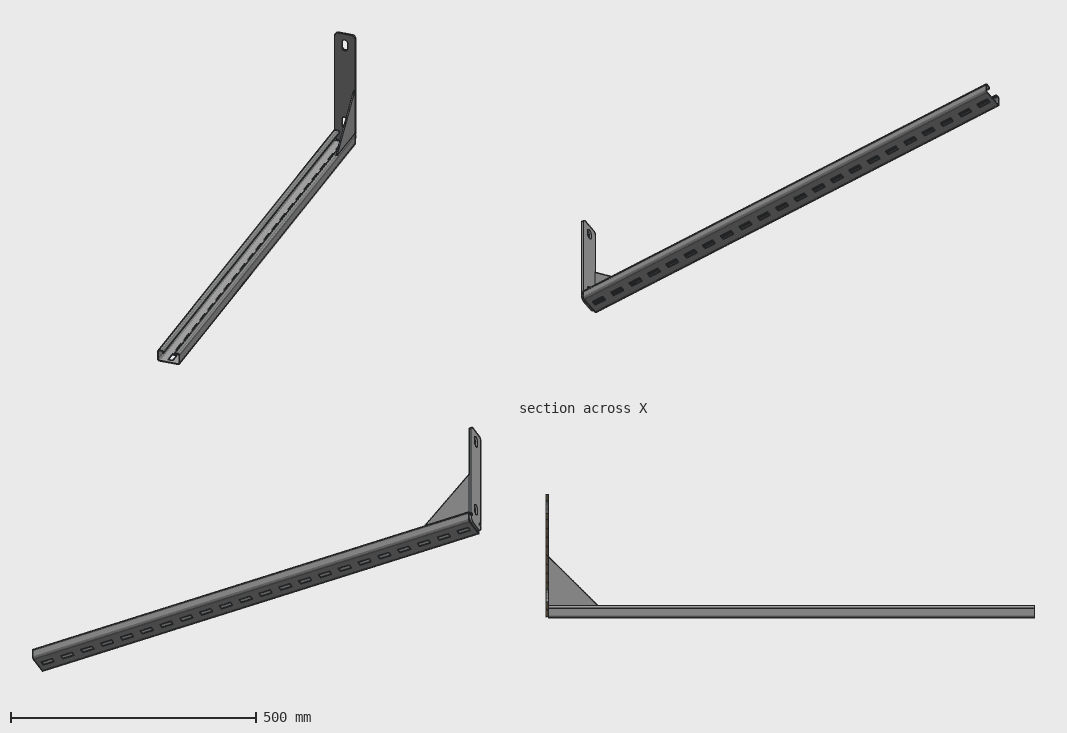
import cadquery as cq
TOTAL_LENGTH = 995.0
PLATE_WIDTH = 45.0
PLATE_HEIGHT = 250.0
PLATE_THICKNESS = 5.0
BACK_Y = TOTAL_LENGTH / 2
PLATE_FRONT_Y = BACK_Y - PLATE_THICKNESS
ARM_FRONT_Y = -TOTAL_LENGTH / 2

CHANNEL_OVERHANG = 1.7
CHANNEL_WIDTH = PLATE_WIDTH + 2 * CHANNEL_OVERHANG
CHANNEL_HEIGHT = 26.0
CHANNEL_LENGTH = TOTAL_LENGTH - PLATE_THICKNESS
SHEET = 2.0
BEND_INNER_RADIUS = 2.0
BEND_OUTER_RADIUS = BEND_INNER_RADIUS + SHEET
OPENING_WIDTH = 23.0
LIP_DEPTH = 6.0

WEB_SLOT_COUNT = 22
WEB_SLOT_WIDTH = 10.0
WEB_SLOT_LENGTH = 25.0
WEB_SLOT_ROW = 944.0
WEB_SLOT_PITCH = WEB_SLOT_ROW / (WEB_SLOT_COUNT - 1)
WEB_SLOT_END_OFFSET = WEB_SLOT_PITCH / 2

PLATE_BOTTOM_Z = 2.3
PLATE_TOP_Z = PLATE_BOTTOM_Z + PLATE_HEIGHT
PLATE_TOP_RADIUS = 8.0
PLATE_BOTTOM_RADIUS = 12.0
MOUNT_SLOT_WIDTH = 13.0
MOUNT_SLOT_LENGTH = 25.0
MOUNT_SLOT_SPACING = 180.0
MOUNT_SLOT_TOP_OFFSET = 26.0
NOTCH_DEPTH = 6.0
NOTCH_HEIGHT = 4.0
NOTCH_BOTTOM_Z = 19.0

GUSSET_LENGTH = 100.0
GUSSET_HEIGHT = 99.5
GUSSET_THICKNESS = 3.0


def round_edges(body, corners, radius):
    """Round the lengthwise edges of the channel at the given (x, z) corners, on both sides."""
    mid_y = (ARM_FRONT_Y + PLATE_FRONT_Y) / 2
    for x, z in corners:
        for side in (-1, 1):
            corner_edge = cq.selectors.NearestToPointSelector((side * x, mid_y, z))
            body = body.edges("|Y").edges(corner_edge).fillet(radius)
    return body


def channel_section():
    """Extrude the lipped C section along the arm and round its bends."""
    outer_x = CHANNEL_WIDTH / 2
    inner_x = outer_x - SHEET
    lip_x = OPENING_WIDTH / 2
    lip_back_x = lip_x + SHEET
    top_z = CHANNEL_HEIGHT
    under_top_z = top_z - SHEET
    lip_end_z = top_z - LIP_DEPTH
    half_outline = [
        (outer_x, 0),
        (outer_x, top_z),
        (lip_x, top_z),
        (lip_x, lip_end_z),
        (lip_back_x, lip_end_z),
        (lip_back_x, under_top_z),
        (inner_x, under_top_z),
        (inner_x, SHEET),
    ]
    mirrored_half = [(-x, z) for x, z in reversed(half_outline)]
    body = (
        cq.Workplane("XZ", origin=(0, PLATE_FRONT_Y, 0))
        .polyline(half_outline + mirrored_half)
        .close()
        .extrude(CHANNEL_LENGTH)
    )
    body = round_edges(body, [(outer_x, 0), (outer_x, top_z), (lip_x, top_z)], BEND_OUTER_RADIUS)
    inner_corners = [(inner_x, SHEET), (inner_x, under_top_z), (lip_back_x, under_top_z)]
    return round_edges(body, inner_corners, BEND_INNER_RADIUS)


def make_channel():
    first_slot_y = ARM_FRONT_Y + WEB_SLOT_END_OFFSET
    slot_centres = [(0, first_slot_y + i * WEB_SLOT_PITCH) for i in range(WEB_SLOT_COUNT)]
    web_slots = (
        cq.Workplane("XY")
        .pushPoints(slot_centres)
        .rect(WEB_SLOT_WIDTH, WEB_SLOT_LENGTH)
        .extrude(SHEET)
    )
    return channel_section().cut(web_slots)


def make_plate():
    plate_mid_y = BACK_Y - PLATE_THICKNESS / 2
    plate = (
        cq.Workplane("XY", origin=(0, plate_mid_y, PLATE_BOTTOM_Z))
        .box(PLATE_WIDTH, PLATE_THICKNESS, PLATE_HEIGHT, centered=(True, True, False))
    )
    plate = plate.edges("|Y and >Z").fillet(PLATE_TOP_RADIUS)
    plate = plate.edges("|Y and <Z").fillet(PLATE_BOTTOM_RADIUS)

    upper_slot_z = PLATE_TOP_Z - MOUNT_SLOT_TOP_OFFSET
    lower_slot_z = upper_slot_z - MOUNT_SLOT_SPACING
    mount_slots = (
        cq.Workplane("XZ", origin=(0, BACK_Y, 0))
        .pushPoints([(0, upper_slot_z), (0, lower_slot_z)])
        .slot2D(MOUNT_SLOT_LENGTH, MOUNT_SLOT_WIDTH, 90)
        .extrude(PLATE_THICKNESS)
    )
    notch_z = NOTCH_BOTTOM_Z + NOTCH_HEIGHT / 2
    notches = (
        cq.Workplane("XZ", origin=(0, BACK_Y, 0))
        .pushPoints([(-PLATE_WIDTH / 2, notch_z), (PLATE_WIDTH / 2, notch_z)])
        .rect(2 * NOTCH_DEPTH, NOTCH_HEIGHT)
        .extrude(PLATE_THICKNESS)
    )
    return plate.cut(mount_slots).cut(notches)


def make_gusset():
    inner_x = PLATE_WIDTH / 2 - GUSSET_THICKNESS
    return (
        cq.Workplane("YZ", origin=(inner_x, PLATE_FRONT_Y, CHANNEL_HEIGHT))
        .polyline([(0, 0), (-GUSSET_LENGTH, 0), (0, GUSSET_HEIGHT)])
        .close()
        .extrude(GUSSET_THICKNESS)
    )


channel = make_channel()
plate = make_plate()
gusset = make_gusset()

result = cq.Compound.makeCompound([channel.val(), plate.val(), gusset.val()])